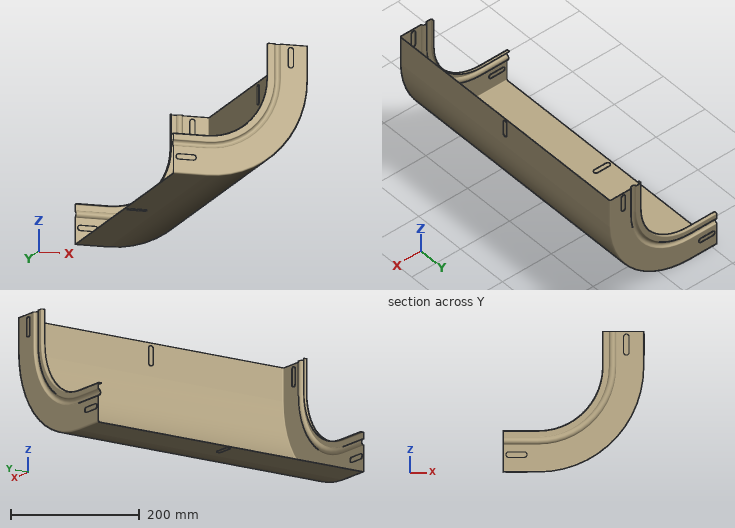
import cadquery as cq
import math

LENGTH = 503.0
SIDE = 219.0
STRAIGHT = 55.0
THICKNESS = 1.0

WALL_HEIGHT = 65.0
FLOOR_FOLD_RADIUS = 2.5
LIP_FOLD_RADIUS = 2.0
LIP_WIDTH = 6.5
GROOVE_HEIGHT = 49.0
GROOVE_DEPTH = 4.0
GROOVE_RADIUS = 5.0
GROOVE_EDGE_RADIUS = 1.5

PAD_LENGTH = 32.5
PAD_WIDTH = 8.5
PAD_FROM_END = 20.5
PAD_HEIGHT = 27.5
PAD_PROUD = 0.15

HALF_LENGTH = LENGTH / 2 - PAD_PROUD
BEND_RADIUS = SIDE - STRAIGHT - PAD_PROUD


def on_circle(center, radius, angle):
    """Point at the given angle (degrees) on a circle."""
    turn = math.radians(angle)
    return center[0] + radius * math.cos(turn), center[1] + radius * math.sin(turn)


def sheet_bends(depth):
    """Bends of the surface lying `depth` below the outer skin, from floor to lip.

    Straight stretches join the bends. Each bend is a list of arcs that follow on from each other,
    and each arc is (center, radius, start angle, end angle) in Y and height above the underside.
    """
    floor_fold_radius = FLOOR_FOLD_RADIUS - depth
    lip_fold_radius = LIP_FOLD_RADIUS - depth
    edge_radius = GROOVE_EDGE_RADIUS - depth
    groove_radius = GROOVE_RADIUS + depth
    floor_fold_y = HALF_LENGTH - FLOOR_FOLD_RADIUS
    lip_fold_y = HALF_LENGTH - LIP_FOLD_RADIUS
    edge_y = HALF_LENGTH - GROOVE_EDGE_RADIUS
    groove_y = HALF_LENGTH - GROOVE_DEPTH + GROOVE_RADIUS
    center_gap = GROOVE_RADIUS + GROOVE_EDGE_RADIUS
    edge_offset = math.sqrt(center_gap**2 - (groove_y - edge_y) ** 2)
    turn = math.degrees(math.atan2(edge_offset, groove_y - edge_y))
    return [
        [((floor_fold_y, FLOOR_FOLD_RADIUS), floor_fold_radius, -90, 0)],
        [
            ((edge_y, GROOVE_HEIGHT - edge_offset), edge_radius, 0, turn),
            ((groove_y, GROOVE_HEIGHT), groove_radius, 180 + turn, 180 - turn),
            ((edge_y, GROOVE_HEIGHT + edge_offset), edge_radius, -turn, 0),
        ],
        [((lip_fold_y, WALL_HEIGHT - LIP_FOLD_RADIUS), lip_fold_radius, 0, 90)],
    ]


def reversed_bends(bends):
    """The same bends followed from lip to floor."""
    return [
        [(center, radius, end, start) for center, radius, start, end in reversed(arcs)]
        for arcs in reversed(bends)
    ]


def add_bends(outline, bends):
    """Continue an outline through the bends, with straight lines between them."""
    for arcs in bends:
        outline = outline.lineTo(*on_circle(*arcs[0][:3]))
        for center, radius, start, end in arcs:
            middle = (start + end) / 2
            outline = outline.threePointArc(
                on_circle(center, radius, middle),
                on_circle(center, radius, end),
            )
    return outline


def half_section():
    """Sheet outline from the middle plane to the +Y lip, at the lower end of the bend."""
    lip_tip = HALF_LENGTH - LIP_WIDTH
    outline = cq.Workplane("YZ", origin=(0, 0, -BEND_RADIUS)).moveTo(0, 0)
    outline = add_bends(outline, sheet_bends(0))
    outline = outline.lineTo(lip_tip, WALL_HEIGHT).lineTo(lip_tip, WALL_HEIGHT - THICKNESS)
    outline = add_bends(outline, reversed_bends(sheet_bends(THICKNESS)))
    return outline.lineTo(0, THICKNESS).close()


def to_upper_run(lower):
    """Mirror a shape of the lower run onto the upper run."""
    return lower.mirror((1, 0, 1), (0, 0, 0))


def tray():
    """Two straight runs joined by the quarter bend, with both side walls."""
    lower_run = half_section().extrude(-STRAIGHT)
    bend = half_section().revolve(90, (0, BEND_RADIUS), (-1, BEND_RADIUS))
    half = lower_run.union(bend).union(to_upper_run(lower_run))
    return half.union(half.mirror("XZ"))


def lower_pads():
    """Slot-shaped pads of the lower run, one in the floor and one in each wall, proud on both faces."""
    pad_x = PAD_FROM_END - STRAIGHT
    depth = THICKNESS + 2 * PAD_PROUD
    floor_pad = (
        cq.Workplane("XY", origin=(pad_x, 0, -BEND_RADIUS - PAD_PROUD))
        .slot2D(PAD_LENGTH, PAD_WIDTH)
        .extrude(depth)
    )
    wall_pad = (
        cq.Workplane("XZ", origin=(pad_x, HALF_LENGTH + PAD_PROUD, PAD_HEIGHT - BEND_RADIUS))
        .slot2D(PAD_LENGTH, PAD_WIDTH)
        .extrude(depth)
    )
    return floor_pad.union(wall_pad).union(wall_pad.mirror("XZ"))


pads = lower_pads()
result = tray().union(pads).union(to_upper_run(pads))